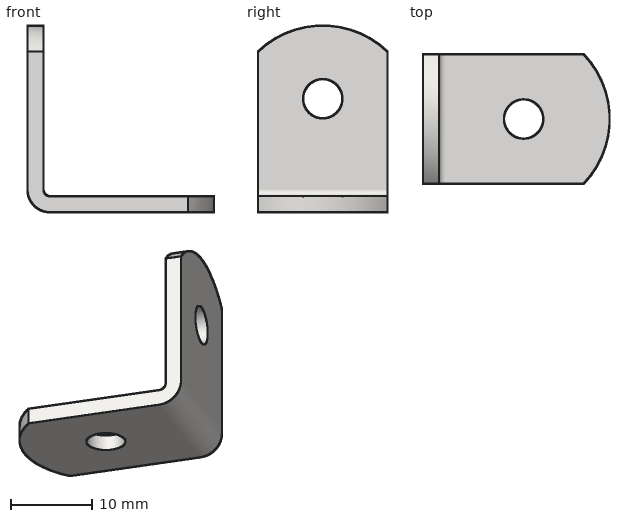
import cadquery as cq
import math

leg_length = 23.0
width = 16.0
thickness = 2.0
inner_bend_radius = 0.8
end_radius = leg_length / 2
hole_diameter = 4.8
base_hole_x = 12.4
upright_hole_z = 14.0

half_width = width / 2
outer_bend_radius = inner_bend_radius + thickness
end_rise = end_radius - math.sqrt(end_radius**2 - half_width**2)
shoulder = leg_length - end_rise


def leg_outline(workplane):
    """Leg seen square on: local x along the leg, local y across the width."""
    return (
        workplane
        .moveTo(0, -half_width)
        .lineTo(shoulder, -half_width)
        .threePointArc((leg_length, 0), (shoulder, half_width))
        .lineTo(0, half_width)
        .close()
    )


def bent_strip():
    """L-shaped strip of constant thickness, with concentric bend radii."""
    strip = (
        cq.Workplane("XZ")
        .polyline([
            (0, 0),
            (leg_length, 0),
            (leg_length, thickness),
            (thickness, thickness),
            (thickness, leg_length),
            (0, leg_length),
        ])
        .close()
        .extrude(half_width, both=True)
    )
    strip = strip.edges("|Y").edges("<X and <Z").fillet(outer_bend_radius)
    inner_corner = cq.selectors.NearestToPointSelector((thickness, 0, thickness))
    return strip.edges("|Y").edges(inner_corner).fillet(inner_bend_radius)


base_plane = cq.Plane(origin=(0, 0, 0), xDir=(1, 0, 0), normal=(0, 0, 1))
upright_plane = cq.Plane(origin=(0, 0, 0), xDir=(0, 0, 1), normal=(1, 0, 0))

result = bent_strip()
for plane in (base_plane, upright_plane):
    result = result.intersect(leg_outline(cq.Workplane(plane)).extrude(leg_length))

for plane, hole_position in ((base_plane, base_hole_x), (upright_plane, upright_hole_z)):
    hole = cq.Workplane(plane).center(hole_position, 0).circle(hole_diameter / 2).extrude(thickness)
    result = result.cut(hole)